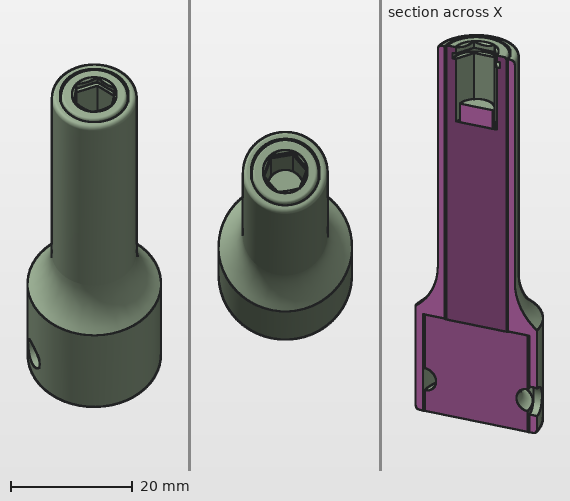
import cadquery as cq
import math

HEIGHT = 68.3
HOLDER_PROTRUSION = 0.3
SLEEVE_TOP = HEIGHT - HOLDER_PROTRUSION
SHOULDER_Z = 19.1
HUB_TOP = 17.75

BASE_DIAMETER = 22.0
BASE_RADIUS = BASE_DIAMETER / 2
STEM_DIAMETER = 14.0
STEM_RADIUS = STEM_DIAMETER / 2
NECK_RADIUS = 10.0
SLEEVE_EDGE_FILLET = 0.75
STEM_BORE_RADIUS = 5.7
BASE_BORE_RADIUS = 9.55

HUB_CLEARANCE = 0.3
HUB_RADIUS = BASE_BORE_RADIUS - HUB_CLEARANCE
GROOVE_RADIUS = 2.0
SIDE_HOLE_RADIUS = 2.5
SIDE_HOLE_Z = 5.9

HOLDER_CLEARANCE = 0.2
HOLDER_RADIUS = STEM_BORE_RADIUS - HOLDER_CLEARANCE
HOLDER_EDGE_FILLET = 0.5
HEX_ACROSS_FLATS = 6.35
HEX_DEPTH = 13.65
HEX_FLOOR = HEIGHT - HEX_DEPTH
LEAD_IN_RADIUS = 3.7
LEAD_IN_DEPTH = 0.4
CLIP_GROOVE_RADIUS = 4.25
CLIP_GROOVE_HEIGHT = 0.95
CLIP_GROOVE_DEPTH = 1.2
CLIP_GROOVE_TOP = HEIGHT - CLIP_GROOVE_DEPTH
CLIP_GROOVE_BOTTOM = CLIP_GROOVE_TOP - CLIP_GROOVE_HEIGHT

MAGNET_RADIUS = 3.0
MAGNET_HEIGHT = 3.4
MAGNET_EDGE_FILLET = 0.2


def cylinder(radius, bottom, top):
    return cq.Workplane("XY").workplane(offset=bottom).circle(radius).extrude(top - bottom)


def make_sleeve():
    arc_center_x = STEM_RADIUS + NECK_RADIUS
    arc_sweep = math.acos((arc_center_x - BASE_RADIUS) / NECK_RADIUS)
    neck_top = SHOULDER_Z + NECK_RADIUS * math.sin(arc_sweep)
    arc_middle = (
        arc_center_x - NECK_RADIUS * math.cos(arc_sweep / 2),
        neck_top - NECK_RADIUS * math.sin(arc_sweep / 2),
    )
    body = (
        cq.Workplane("XZ")
        .lineTo(BASE_RADIUS, 0)
        .lineTo(BASE_RADIUS, SHOULDER_Z)
        .threePointArc(arc_middle, (STEM_RADIUS, neck_top))
        .lineTo(STEM_RADIUS, SLEEVE_TOP)
        .lineTo(0, SLEEVE_TOP)
        .close()
        .revolve(360, (0, 0), (0, 1))
        .faces("<Z or >Z")
        .edges()
        .fillet(SLEEVE_EDGE_FILLET)
    )
    side_hole = (
        cq.Workplane("XZ")
        .center(0, SIDE_HOLE_Z)
        .circle(SIDE_HOLE_RADIUS)
        .extrude(BASE_RADIUS)
    )
    return (
        body.cut(cylinder(BASE_BORE_RADIUS, 0, HUB_TOP))
        .cut(cylinder(STEM_BORE_RADIUS, HUB_TOP, SLEEVE_TOP))
        .cut(side_hole)
    )


def make_hub():
    groove = (
        cq.Workplane("XZ")
        .center(HUB_RADIUS, SIDE_HOLE_Z)
        .circle(GROOVE_RADIUS)
        .revolve(360, (-HUB_RADIUS, 0), (-HUB_RADIUS, 1))
    )
    return cylinder(HUB_RADIUS, 0, HUB_TOP).cut(groove)


def make_bit_holder():
    body = cylinder(HOLDER_RADIUS, HUB_TOP, HEIGHT).faces(">Z").edges().fillet(HOLDER_EDGE_FILLET)
    hex_socket = (
        cq.Workplane("XY")
        .workplane(offset=HEX_FLOOR)
        .polygon(6, HEX_ACROSS_FLATS, circumscribed=True)
        .extrude(HEX_DEPTH)
    )
    lead_in_end_radius = HEX_ACROSS_FLATS / 2
    lead_in = cq.Workplane(
        cq.Solid.makeCone(
            LEAD_IN_RADIUS,
            lead_in_end_radius,
            LEAD_IN_DEPTH,
            pnt=cq.Vector(0, 0, HEIGHT),
            dir=cq.Vector(0, 0, -1),
        )
    )
    clip_groove = cylinder(CLIP_GROOVE_RADIUS, CLIP_GROOVE_BOTTOM, CLIP_GROOVE_TOP)
    return body.cut(hex_socket).cut(lead_in).cut(clip_groove)


def make_magnet():
    disc = cylinder(MAGNET_RADIUS, HEX_FLOOR, HEX_FLOOR + MAGNET_HEIGHT)
    return disc.faces(">Z").edges().fillet(MAGNET_EDGE_FILLET)


sleeve = make_sleeve()
hub = make_hub()
bit_holder = make_bit_holder()
magnet = make_magnet()

result = cq.Compound.makeCompound([sleeve.val(), hub.val(), bit_holder.val(), magnet.val()])